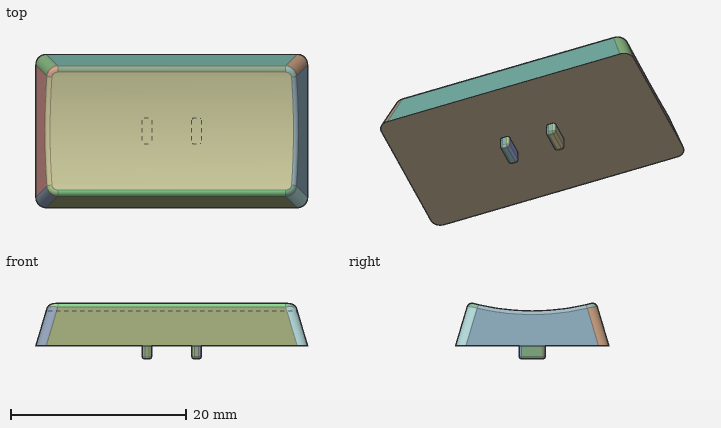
import cadquery as cq
import math

base_length = 31.0
base_width = 17.5
draft_angle = 16.5
corner_radius = 1.25
rim_radius = 0.6

dish_radius = 26.5
dish_floor_height = 3.98

leg_thickness = 1.1
leg_width = 3.0
leg_height = 1.5
leg_spacing = 5.65
leg_edge_radius = 0.3

dish_end_rise = dish_radius - math.sqrt(dish_radius**2 - (base_width / 2) ** 2)
blank_height = dish_floor_height + dish_end_rise


def make_dish_cutter():
    """Cylinder along X whose lowest line is the floor of the dish."""
    return (
        cq.Workplane("YZ")
        .center(0, dish_floor_height + dish_radius)
        .circle(dish_radius)
        .extrude(base_length / 2, both=True)
    )


def make_cap_body():
    """Tapered block with rounded corners, a dished top and a rounded rim."""
    body = (
        cq.Workplane("XY")
        .rect(base_length, base_width)
        .extrude(blank_height, taper=draft_angle)
        .edges("not #Z")
        .fillet(corner_radius)
        .cut(make_dish_cutter())
    )
    dish_face = body.faces(cq.selectors.NearestToPointSelector((0, 0, dish_floor_height)))
    return dish_face.edges().fillet(rim_radius)


def make_leg(x_position):
    """Upright leg hanging from the underside, with rounded sides and tip."""
    return (
        cq.Workplane("XY")
        .center(x_position, 0)
        .rect(leg_thickness, leg_width)
        .extrude(-leg_height)
        .edges("|Z")
        .fillet(leg_edge_radius)
        .faces("<Z")
        .edges()
        .fillet(leg_edge_radius)
    )


result = make_cap_body()
for side in (-1, 1):
    result = result.union(make_leg(side * leg_spacing / 2))